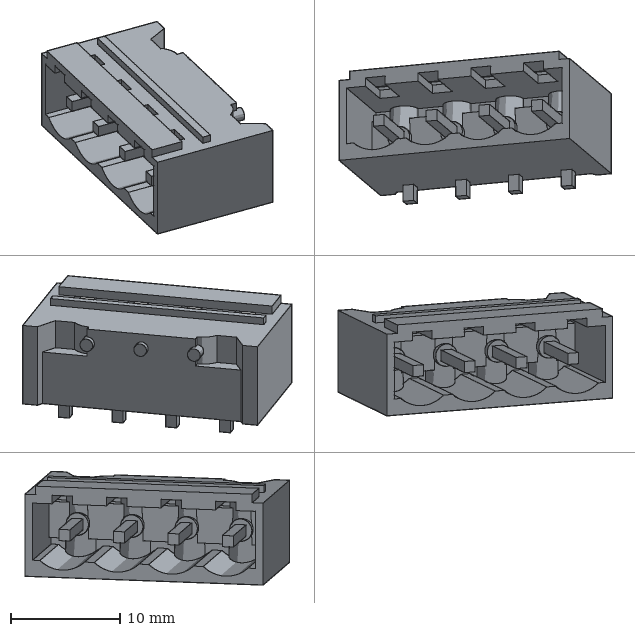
import cadquery as cq
import math


pin_count = 4
pitch = 5.08
pin_xs = [(i - (pin_count - 1) / 2) * pitch for i in range(pin_count)]
peg_xs = [(i - (pin_count - 2) / 2) * pitch for i in range(pin_count - 1)]

width = 22.22
height = 7.62
depth = 12.0
back_y = 11.43
ear_tip_width = 1.4

lip_length = 20.18
lip_depth = 3.11
lip_height = 0.79
rib_front_y = 5.27
rib_depth = 0.78
rib_height = 0.65

side_wall = 0.725
roof_wall = 0.79
cavity_floor_z = 1.53
cavity_depth = 8.4
cavity_top_z = height - roof_wall
cavity_width = width - 2 * side_wall
groove_radius = 3.06
slot_width = 1.9
slot_depth = 4.16

step_bottom_z = 2.33
step_top_z = 5.68
step_depth = 1.03

post_bottom_radius = 1.43
post_top_radius = 1.29
boss_radius = 1.04
boss_projection = 0.2
boss_front_y = cavity_depth - post_bottom_radius - boss_projection

notch_floor_z = 5.0
notch_front_y = 9.98
notch_outer_x = 8.57
notch_arc_radius = 2.03
notch_arc_top_y = 10.83
left_notch_inner_x = pitch
right_notch_inner_x = 5.2

peg_radius = 0.6
peg_z = 6.25

pin_size = 1.04
pin_z = 3.77
pin_tip_y = 1.0
pin_back_y = 10.51
pin_tail = 1.52


def box(x_size, y_range, z_range, x_centre=0):
    """Box centred on x_centre in X, spanning the given Y and Z ranges."""
    y_min, y_max = y_range
    z_min, z_max = z_range
    corner = (x_centre - x_size / 2, y_min, z_min)
    return cq.Workplane("XY").box(x_size, y_max - y_min, z_max - z_min, centered=False).translate(corner)


def cylinder_along_y(radius, x, z, y_min, y_max):
    solid = cq.Solid.makeCylinder(radius, y_max - y_min, cq.Vector(x, y_min, z), cq.Vector(0, 1, 0))
    return cq.Workplane(obj=solid)


def make_block():
    """Main block with sloped ears at the rear, plus the lip and rib on its roof."""
    half_width = width / 2
    ear_tip_x = half_width - ear_tip_width
    ear_slope = (ear_tip_x - notch_outer_x) / (depth - notch_front_y)
    ear_root_x = ear_tip_x - ear_slope * (depth - back_y)
    block = (
        cq.Workplane("XY")
        .moveTo(-half_width, 0)
        .lineTo(half_width, 0)
        .lineTo(half_width, depth)
        .lineTo(ear_tip_x, depth)
        .lineTo(ear_root_x, back_y)
        .lineTo(-ear_root_x, back_y)
        .lineTo(-ear_tip_x, depth)
        .lineTo(-half_width, depth)
        .close()
        .extrude(height)
    )
    lip = box(lip_length, (0, lip_depth), (height, height + lip_height))
    rib = box(lip_length, (rib_front_y, rib_front_y + rib_depth), (height, height + rib_height))
    return block.union(lip).union(rib), ear_root_x


def make_notch(ear_root_x, inner_x):
    """Right-hand rear notch: sloped along the ear, flat, then arched up to the peg."""
    arc_centre_y = notch_arc_top_y - notch_arc_radius
    start_angle = math.acos((inner_x - pitch) / notch_arc_radius)
    end_angle = math.asin((notch_front_y - arc_centre_y) / notch_arc_radius)
    mid_angle = (start_angle + end_angle) / 2

    def arc_point(angle):
        x = pitch + notch_arc_radius * math.cos(angle)
        y = arc_centre_y + notch_arc_radius * math.sin(angle)
        return x, y

    return (
        cq.Workplane("XY", origin=(0, 0, notch_floor_z))
        .moveTo(ear_root_x, back_y)
        .lineTo(notch_outer_x, notch_front_y)
        .lineTo(*arc_point(end_angle))
        .threePointArc(arc_point(mid_angle), arc_point(start_angle))
        .lineTo(inner_x, back_y)
        .close()
        .extrude(height - notch_floor_z)
    )


def make_cavity():
    """Space inside the housing, with a groove and a roof slot for every pin."""
    cavity = box(cavity_width, (0, cavity_depth), (cavity_floor_z, cavity_top_z))
    step = box(cavity_width, (cavity_depth - step_depth, cavity_depth), (step_bottom_z, step_top_z))
    within_walls = box(cavity_width, (0, cavity_depth), (0, height))
    for x in pin_xs:
        groove = cylinder_along_y(groove_radius, x, pin_z, 0, cavity_depth)
        lower_half = box(2 * groove_radius, (0, cavity_depth), (0, pin_z), x)
        cavity = cavity.union(groove.intersect(lower_half).intersect(within_walls))
        cavity = cavity.union(box(slot_width, (0, slot_depth), (cavity_top_z, height), x))
    return cavity.cut(step)


def make_post(x):
    """Tapered upright post half sunk in the back wall, with a round boss around the pin."""
    profile = [(0, 0), (post_bottom_radius, 0), (post_top_radius, height), (0, height)]
    post = (
        cq.Workplane("YZ", origin=(x, cavity_depth, 0))
        .polyline(profile)
        .close()
        .revolve(360, (0, 0, 0), (0, 1, 0))
    )
    return post.union(cylinder_along_y(boss_radius, x, pin_z, boss_front_y, cavity_depth))


def make_pin(x):
    """Square pin running back from its tip, then bent down through the underside."""
    bottom_z = pin_z - pin_size / 2
    top_z = pin_z + pin_size / 2
    contact = box(pin_size, (pin_tip_y, pin_back_y), (bottom_z, top_z), x)
    leg = box(pin_size, (pin_back_y - pin_size, pin_back_y), (-pin_tail, top_z), x)
    return contact.union(leg)


def make_housing(pins):
    block, ear_root_x = make_block()
    right_notch = make_notch(ear_root_x, right_notch_inner_x)
    left_notch = make_notch(ear_root_x, left_notch_inner_x).mirror("YZ")
    housing = block.cut(right_notch).cut(left_notch).cut(make_cavity())
    for x in pin_xs:
        housing = housing.union(make_post(x))
    for x in peg_xs:
        housing = housing.union(cylinder_along_y(peg_radius, x, peg_z, notch_front_y, depth))
    for pin in pins:
        housing = housing.cut(pin)
    return housing


pins = [make_pin(x) for x in pin_xs]
housing = make_housing(pins)

result = cq.Compound.makeCompound([housing.val(), *[pin.val() for pin in pins]])